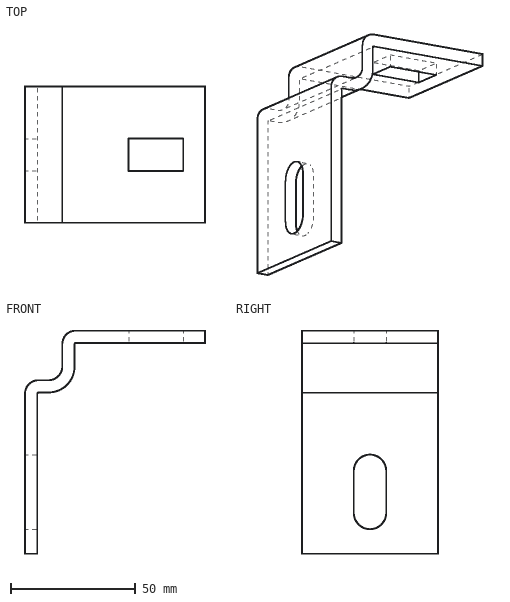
import cadquery as cq

length_x = 72.6
width_y = 55.0
height_z = 90.0
thickness = 5.0

step_x = 15.0
step_z = 20.0
tight_inner_radius = 0.45
tight_outer_radius = tight_inner_radius + thickness
wide_inner_radius = 5.5
wide_outer_radius = wide_inner_radius + thickness

window_length = 22.0
window_width = 13.0
window_end_margin = 8.8
slot_length = 30.0
slot_width = 13.0
slot_bottom_margin = 10.0

shelf_z = height_z - step_z


def bent_sheet():
    """Extrude the Z-stepped angle profile, centred on Y = 0."""
    sharp_profile = [
        (0, 0),
        (0, shelf_z),
        (step_x, shelf_z),
        (step_x, height_z),
        (length_x, height_z),
        (length_x, height_z - thickness),
        (step_x + thickness, height_z - thickness),
        (step_x + thickness, shelf_z - thickness),
        (thickness, shelf_z - thickness),
        (thickness, 0),
    ]
    sheet = cq.Workplane("XZ").polyline(sharp_profile).close().extrude(width_y / 2, both=True)

    bends = [
        (0, shelf_z, tight_outer_radius),
        (thickness, shelf_z - thickness, tight_inner_radius),
        (step_x, shelf_z, wide_inner_radius),
        (step_x + thickness, shelf_z - thickness, wide_outer_radius),
        (step_x, height_z, tight_outer_radius),
        (step_x + thickness, height_z - thickness, tight_inner_radius),
    ]
    for x, z, radius in bends:
        corner_edge = cq.selectors.NearestToPointSelector((x, 0, z))
        sheet = sheet.edges("|Y").edges(corner_edge).fillet(radius)
    return sheet


def window_cutter():
    """Rectangular opening through the horizontal leg."""
    center_x = length_x - window_end_margin - window_length / 2
    return (
        cq.Workplane("XY", origin=(center_x, 0, height_z - thickness))
        .rect(window_length, window_width)
        .extrude(thickness)
    )


def slot_cutter():
    """Vertical round-ended slot through the upright leg."""
    center_z = slot_bottom_margin + slot_length / 2
    return (
        cq.Workplane("YZ", origin=(0, 0, center_z))
        .slot2D(slot_length, slot_width, 90)
        .extrude(thickness)
    )


result = bent_sheet().cut(window_cutter()).cut(slot_cutter())